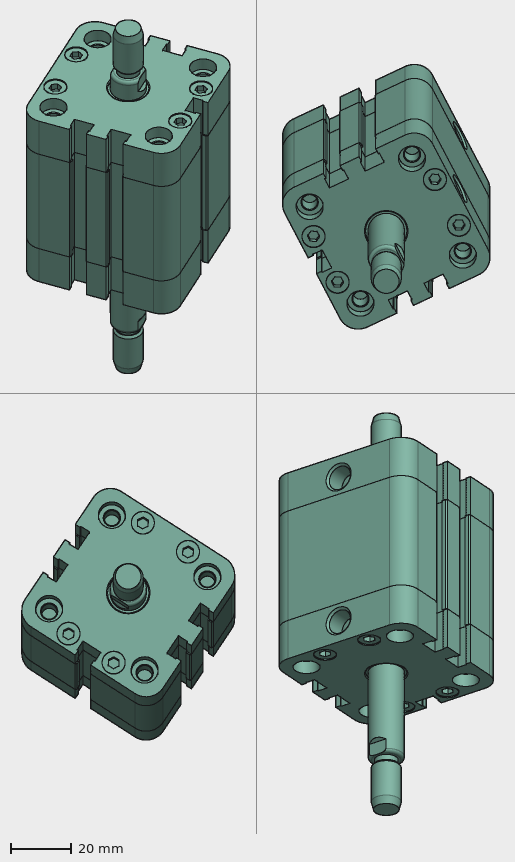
import cadquery as cq
import math


TOTAL_LENGTH = 147.0
WIDTH = 54.8
HALF_WIDTH = WIDTH / 2
CORNER_RADIUS = 6.8
TUBE_BOTTOM = 65.5
TUBE_LENGTH = 41.2
CAP_HEIGHT = 14.4
TUBE_TOP = TUBE_BOTTOM + TUBE_LENGTH
HOUSING_BOTTOM = TUBE_BOTTOM - CAP_HEIGHT
HOUSING_TOP = TUBE_TOP + CAP_HEIGHT

ROD_DIAMETER = 12.0
THREAD_DIAMETER = 10.0
THREAD_CORE_DIAMETER = 8.5
NECK_DIAMETER = 8.0
TIP_CONE_LENGTH = 2.8
THREAD_LENGTH = 13.0
RUNOUT_LENGTH = 0.9
NECK_LENGTH = 2.0
SHOULDER_FILLET = 1.2
FLATS_WIDTH = 10.0
FLATS_LENGTH = 4.7

SLOT_OFFSET = 6.6
SLOT_DEPTH = 5.5
SLOT_WIDTH = 7.0
LIP_DEPTH = 1.9
MOUTH_WIDTH = 6.2
TUBE_LIP_GAP = 5.3

PORT_DIAMETER = 8.5
PORT_RIM_DIAMETER = 10.1
PORT_CHAMFER = 0.7
PORT_FLOOR_DIAMETER = 40.0
PORT_DEPTH_FROM_END = 8.0
MOUNT_OFFSET = 19.0
MOUNT_BORE_DIAMETER = 9.0
MOUNT_BORE_DEPTH = 4.5
MOUNT_HOLE_DIAMETER = 5.1
MOUNT_HOLE_DEPTH = 11.8
MOUNT_SINK_DIAMETER = 5.7
SCREW_X = 22.5
SCREW_Y = 9.0
SCREW_RECESS_DIAMETER = 7.6
SCREW_RECESS_DEPTH = 0.5
SOCKET_FLATS = 3.5
SOCKET_DEPTH = 2.2
ROD_RECESS_DIAMETER = 13.7
ROD_SINK_DIAMETER = 14.4
ROD_RECESS_DEPTH = 0.6


def cylinder(diameter, bottom, top):
    return cq.Workplane("XY").workplane(offset=bottom).circle(diameter / 2).extrude(top - bottom)


def cone(bottom_diameter, top_diameter, top):
    """45 degree countersink that widens upwards to top_diameter at height top."""
    depth = (top_diameter - bottom_diameter) / 2
    return (
        cq.Workplane("XY")
        .workplane(offset=top - depth)
        .circle(bottom_diameter / 2)
        .workplane(offset=depth)
        .circle(top_diameter / 2)
        .loft()
    )


def t_slot(lip_gap, bottom, height):
    """T-slot cutter opening towards -Y, on the centre plane X = 0.

    The mouth is MOUTH_WIDTH wide and tapers at 45 degrees to lip_gap between the lips.
    """
    floor = -HALF_WIDTH + SLOT_DEPTH
    lip = -HALF_WIDTH + LIP_DEPTH
    half_outline = [(MOUTH_WIDTH / 2, -HALF_WIDTH)]
    if lip_gap < MOUTH_WIDTH:
        half_outline.append((lip_gap / 2, -HALF_WIDTH + (MOUTH_WIDTH - lip_gap) / 2))
    half_outline += [
        (lip_gap / 2, lip),
        (SLOT_WIDTH / 2, lip),
        (SLOT_WIDTH / 2, floor),
    ]
    other_half = [(-x, y) for x, y in reversed(half_outline)]
    return (
        cq.Workplane("XY")
        .workplane(offset=bottom)
        .polyline(half_outline + other_half)
        .close()
        .extrude(height)
    )


def housing_block(lip_gap, bottom, height):
    """Rounded square block with two slots in each Y side and one in the +X side."""
    block = (
        cq.Workplane("XY")
        .workplane(offset=bottom)
        .rect(WIDTH, WIDTH)
        .extrude(height)
        .edges("|Z")
        .fillet(CORNER_RADIUS)
    )
    slot = t_slot(lip_gap, bottom, height)
    for side_angle in (0, 180):
        for offset in (-SLOT_OFFSET, SLOT_OFFSET):
            placed = slot.translate((offset, 0, 0)).rotate((0, 0, 0), (0, 0, 1), side_angle)
            block = block.cut(placed)
    return block.cut(slot.rotate((0, 0, 0), (0, 0, 1), 90))


SHOULDER_Z = TIP_CONE_LENGTH + THREAD_LENGTH + RUNOUT_LENGTH + NECK_LENGTH


def mirrored_in_z(points):
    return [(radius, TOTAL_LENGTH - z) for radius, z in reversed(points)]


def flat_cutter():
    """Removes the +X flat at the lower rod end, with a 45 degree run-out."""
    flat_x = FLATS_WIDTH / 2
    outer_x = ROD_DIAMETER
    flat_end = SHOULDER_Z + FLATS_LENGTH
    return (
        cq.Workplane("XZ")
        .polyline([
            (flat_x, SHOULDER_Z),
            (outer_x, SHOULDER_Z),
            (outer_x, flat_end + outer_x - flat_x),
            (flat_x, flat_end),
        ])
        .close()
        .extrude(ROD_DIAMETER, both=True)
    )


def make_rod():
    thread_end = TIP_CONE_LENGTH + THREAD_LENGTH
    neck_start = thread_end + RUNOUT_LENGTH
    rod_radius = ROD_DIAMETER / 2
    lower_end = [
        (0, 0),
        (THREAD_CORE_DIAMETER / 2, 0),
        (THREAD_DIAMETER / 2, TIP_CONE_LENGTH),
        (THREAD_DIAMETER / 2, thread_end),
        (THREAD_CORE_DIAMETER / 2, neck_start),
        (NECK_DIAMETER / 2, neck_start),
        (NECK_DIAMETER / 2, SHOULDER_Z),
        (rod_radius, SHOULDER_Z),
    ]
    profile = cq.Workplane("XZ").polyline(lower_end + mirrored_in_z(lower_end)).close()
    turned = profile.revolve(360, (0, 0, 0), (0, 1, 0))
    shoulder_rims = cq.selectors.RadiusNthSelector(-1)
    turned = turned.edges("%CIRCLE").edges(shoulder_rims).fillet(SHOULDER_FILLET)
    flat = flat_cutter()
    middle = (0, 0, TOTAL_LENGTH / 2)
    for cutter in (flat, flat.mirror("YZ")):
        turned = turned.cut(cutter).cut(cutter.mirror("XY", middle))
    return turned


def make_tube():
    tube = housing_block(TUBE_LIP_GAP, TUBE_BOTTOM, TUBE_LENGTH)
    return tube.cut(cylinder(ROD_DIAMETER, TUBE_BOTTOM, TUBE_TOP))


def port_cutter():
    """Chamfered blind port in the -X face; its floor is part of a cylinder about the rod axis."""
    port_z = HOUSING_TOP - PORT_DEPTH_FROM_END
    face = cq.Workplane("YZ", origin=(-HALF_WIDTH, 0, port_z))
    bore = face.circle(PORT_DIAMETER / 2).extrude(HALF_WIDTH)
    rim = (
        face.circle(PORT_RIM_DIAMETER / 2)
        .workplane(offset=PORT_CHAMFER)
        .circle(PORT_DIAMETER / 2)
        .loft()
    )
    return bore.union(rim).cut(cylinder(PORT_FLOOR_DIAMETER, TUBE_TOP, HOUSING_TOP))


def mount_hole_cutter():
    """Counterbored blind hole, countersunk at the counterbore floor."""
    bore_floor = HOUSING_TOP - MOUNT_BORE_DEPTH
    bore = cylinder(MOUNT_BORE_DIAMETER, bore_floor, HOUSING_TOP)
    hole = cylinder(MOUNT_HOLE_DIAMETER, HOUSING_TOP - MOUNT_HOLE_DEPTH, bore_floor)
    return bore.union(hole).union(cone(MOUNT_HOLE_DIAMETER, MOUNT_SINK_DIAMETER, bore_floor))


def screw_head_cutter():
    """Round recess over a sunk screw head, with the hexagon socket below it."""
    head_face = HOUSING_TOP - SCREW_RECESS_DEPTH
    recess = cylinder(SCREW_RECESS_DIAMETER, head_face, HOUSING_TOP)
    across_corners = SOCKET_FLATS / math.cos(math.pi / 6)
    socket = (
        cq.Workplane("XY")
        .workplane(offset=head_face - SOCKET_DEPTH)
        .polygon(6, across_corners)
        .extrude(SOCKET_DEPTH)
        .rotate((0, 0, 0), (0, 0, 1), 90)
    )
    return recess.union(socket)


def make_top_cap():
    cap = housing_block(MOUTH_WIDTH, TUBE_TOP, CAP_HEIGHT)
    cap = cap.cut(cylinder(ROD_DIAMETER, TUBE_TOP, HOUSING_TOP))
    cap = cap.cut(cylinder(ROD_RECESS_DIAMETER, HOUSING_TOP - ROD_RECESS_DEPTH, HOUSING_TOP))
    cap = cap.cut(cone(ROD_RECESS_DIAMETER, ROD_SINK_DIAMETER, HOUSING_TOP))
    cap = cap.cut(port_cutter())
    mount_hole = mount_hole_cutter()
    screw_head = screw_head_cutter()
    for x_side in (-1, 1):
        for y_side in (-1, 1):
            cap = cap.cut(mount_hole.translate((x_side * MOUNT_OFFSET, y_side * MOUNT_OFFSET, 0)))
            cap = cap.cut(screw_head.translate((x_side * SCREW_X, y_side * SCREW_Y, 0)))
    return cap


rod = make_rod()
tube = make_tube()
top_cap = make_top_cap()
bottom_cap = top_cap.mirror("XY", (0, 0, (HOUSING_BOTTOM + HOUSING_TOP) / 2))

result = cq.Compound.makeCompound([
    rod.val(),
    tube.val(),
    top_cap.val(),
    bottom_cap.val(),
])